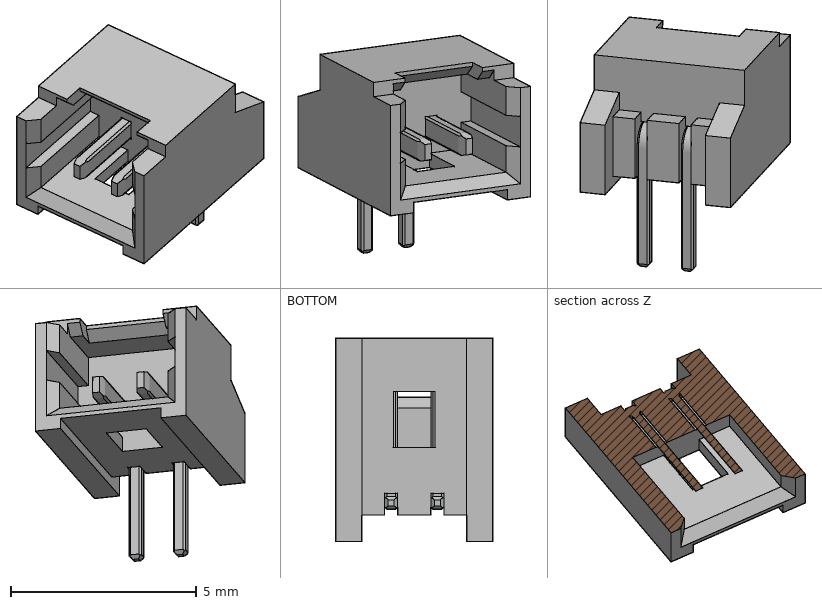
import cadquery as cq

EPS = 0.06

width = 4.25
length = 5.5
height = 3.5
front_ledge_length = 1.0
front_ledge_drop = 0.4
rear_wall_y = 4.2
wing_top_front = 2.495
wing_top_rear = 1.995
wing_thickness = 0.71
tail_block_end = 4.785
tail_block_top = 1.995
channel_depth = 0.29
ledge_z = height - front_ledge_drop

wall = 0.31
rib = 0.29
lead_in = rib
floor_z = 0.695
cavity_depth = 2.95
groove_bottom = 1.44
groove_top = 2.29
roof_lip = front_ledge_drop - lead_in
notch_width = 2.345
notch_depth = 0.6
floor_window_width = 1.125
floor_window_start = 1.45
cavity_width = width - 2 * (wall + rib)

pin_pitch = 1.245
pin_width = 0.35
arm_height = 0.605
arm_center_z = 1.425
arm_tip_y = 0.7
arm_tip_length = 0.29
arm_tip_inset = 0.075
leg_rear_y = 4.63
leg_end_z = -2.3
leg_tip_length = 0.105
leg_tip_inset = 0.09
pin_edge_chamfer = 0.06
arm_top = arm_center_z + arm_height / 2
arm_bottom = arm_center_z - arm_height / 2
leg_front_y = leg_rear_y - pin_width
leg_center_y = leg_rear_y - pin_width / 2
pin_positions = (-pin_pitch / 2, pin_pitch / 2)


def block(x_size, y_min, y_max, z_min, z_max):
    """Box centred on X that spans the given Y and Z ranges."""
    size_y = y_max - y_min
    size_z = z_max - z_min
    corner = cq.Vector(-x_size / 2, y_min, z_min)
    return cq.Workplane(obj=cq.Solid.makeBox(x_size, size_y, size_z, corner))


def side_prism(points, x_size):
    """Closed Y-Z outline extruded symmetrically along X."""
    return cq.Workplane("YZ").polyline(points).close().extrude(x_size / 2, both=True)


def housing_blank():
    outline = [
        (0, 0),
        (length, 0),
        (length, wing_top_rear),
        (rear_wall_y, wing_top_front),
        (rear_wall_y, height),
        (front_ledge_length, height),
        (front_ledge_length, ledge_z),
        (0, ledge_z),
    ]
    span = width - 2 * wing_thickness
    blank = side_prism(outline, width)
    blank = blank.cut(block(span, tail_block_end, length + EPS, -EPS, height))
    blank = blank.cut(block(span, rear_wall_y, length + EPS, tail_block_top, height))
    return blank.cut(block(span, -EPS, length + EPS, -EPS, channel_depth))


def roof_opening(x_size, edge_y):
    """Cut through the roof back to edge_y, with a lead-in bevel under the remaining lip."""
    outline = [
        (-EPS, floor_z),
        (-EPS, height + EPS),
        (edge_y, height + EPS),
        (edge_y, height - roof_lip),
        (edge_y + lead_in, ledge_z),
        (edge_y + lead_in, floor_z),
    ]
    return side_prism(outline, x_size)


def mouth_bevel():
    """Tapered mouth that bevels the floor and the front ends of the side ribs."""
    rise = height - floor_z
    half_inner = cavity_width / 2
    half_outer = half_inner + lead_in
    plan = [
        (-half_outer, 0),
        (half_outer, 0),
        (half_inner, lead_in),
        (-half_inner, lead_in),
    ]
    sides = (
        cq.Workplane("XY", origin=(0, 0, floor_z - lead_in))
        .polyline(plan)
        .close()
        .extrude(rise + lead_in)
    )
    ramp = side_prism(
        [(0, floor_z - lead_in), (lead_in, floor_z), (lead_in, height), (0, height)],
        cavity_width + 2 * lead_in,
    )
    return sides.intersect(ramp)


def cavity():
    groove_width = width - 2 * wall
    space = block(cavity_width, -EPS, cavity_depth, floor_z, ledge_z)
    space = space.union(block(groove_width, -EPS, cavity_depth, groove_bottom, groove_top))
    space = space.union(roof_opening(cavity_width, front_ledge_length))
    space = space.union(roof_opening(notch_width, front_ledge_length + notch_depth))
    space = space.union(mouth_bevel())
    floor_window = block(floor_window_width, floor_window_start, cavity_depth, -EPS, floor_z + EPS)
    return space.union(floor_window)


def pin_slot(x):
    """Rectangular tunnel for one pin arm, opening into a vertical slot that clears its leg."""
    tunnel = block(pin_width, cavity_depth - EPS, tail_block_end, arm_bottom, arm_top)
    leg_slot = block(pin_width, rear_wall_y, tail_block_end + EPS, -EPS, tail_block_top + EPS)
    return tunnel.union(leg_slot).translate((x, 0, 0))


def bent_bar():
    """L-shaped bar with a rounded outer elbow and chamfered long edges."""
    return (
        cq.Workplane("YZ")
        .moveTo(arm_tip_y, arm_bottom)
        .lineTo(leg_front_y, arm_bottom)
        .lineTo(leg_front_y, leg_end_z)
        .lineTo(leg_rear_y, leg_end_z)
        .lineTo(leg_rear_y, arm_bottom)
        .radiusArc((leg_rear_y - arm_height, arm_top), -arm_height)
        .lineTo(arm_tip_y, arm_top)
        .close()
        .extrude(pin_width / 2, both=True)
        .faces("<X or >X")
        .chamfer(pin_edge_chamfer)
    )


def tapered_envelope(plane, center, bar_width, tip, tip_length, inset, far_end):
    """Flat-tipped outline from the tip to far_end, swept across the whole pin."""
    half = bar_width / 2
    shoulder = tip + tip_length
    outline = [
        (center - half + inset, tip),
        (center + half - inset, tip),
        (center + half, shoulder),
        (center + half, far_end),
        (center - half, far_end),
        (center - half, shoulder),
    ]
    return cq.Workplane(plane).polyline(outline).close().extrude(length, both=True)


def pin():
    """Bent pin on the Y-Z plane, with both ends tapered on all four sides."""
    arm_taper = (arm_tip_y, arm_tip_length, arm_tip_inset, leg_rear_y)
    leg_taper = (leg_end_z, leg_tip_length, leg_tip_inset, arm_top)
    arm_side = tapered_envelope("ZY", arm_center_z, arm_height, *arm_taper)
    leg_side = tapered_envelope("YZ", leg_center_y, pin_width, *leg_taper)
    arm_plan = tapered_envelope("XY", 0, pin_width, *arm_taper)
    leg_front = tapered_envelope("XZ", 0, pin_width, *leg_taper)
    return bent_bar().intersect(arm_plan).intersect(leg_front).intersect(arm_side.union(leg_side))


result = housing_blank().cut(cavity())
for pin_x in pin_positions:
    result = result.cut(pin_slot(pin_x))
    result = result.union(pin().translate((pin_x, 0, 0)))